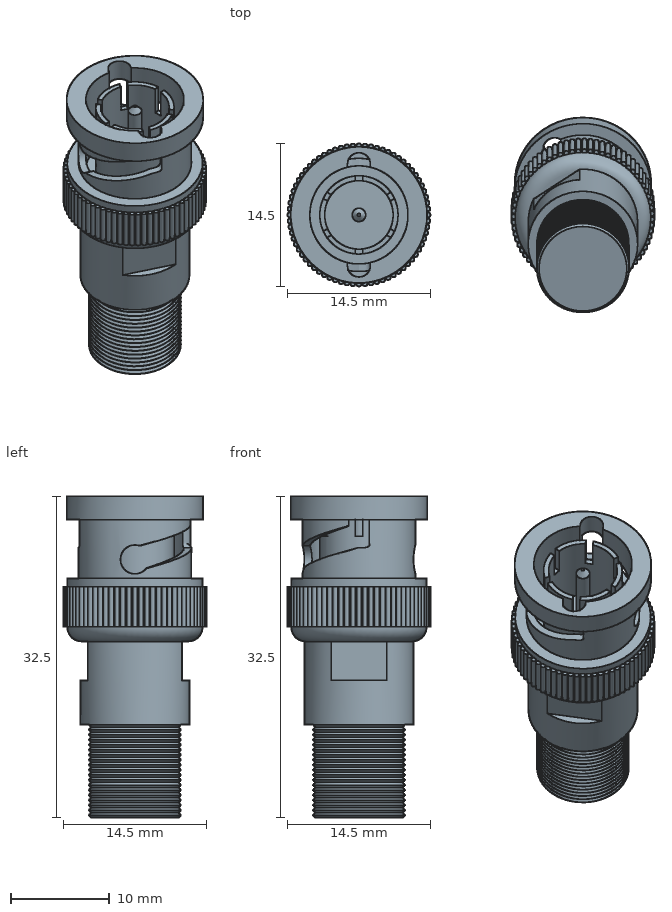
import cadquery as cq


thread_pitch = 0.5085
thread_pitches = 18.5
thread_crest_radius = 4.66
thread_root_radius = 4.43

tail_top_z = thread_pitch * thread_pitches
body_length = 8.4
knurl_skirt = 1.49
knurl_length = 4.05
collar_rim = 0.84
barrel_length = 5.95
flange_thickness = 2.37

collar_bottom_z = tail_top_z + body_length
knurl_bottom_z = collar_bottom_z + knurl_skirt
knurl_top_z = knurl_bottom_z + knurl_length
collar_top_z = knurl_top_z + collar_rim
flange_bottom_z = collar_top_z + barrel_length
top_z = flange_bottom_z + flange_thickness

body_radius = 5.53
collar_radius = 6.85
collar_edge_fillet = knurl_skirt
barrel_radius = 5.72
flange_radius = 6.91

flat_distance = 4.77
flat_length = 3.93

ridge_count = 72
ridge_radius = 0.25
knurl_outer_radius = 7.24

socket_radius = 4.96
socket_floor_z = knurl_top_z
sleeve_outer_radius = 3.96
sleeve_inner_radius = 3.46
sleeve_recess = 1.0
sleeve_slot_count = 6
sleeve_slot_width = 0.75
sleeve_slot_length = 3.08
sleeve_top_z = top_z - sleeve_recess
pin_radius = 0.68
pin_tip_radius = 0.15
pin_shoulder_recess = 1.5
pin_shoulder_z = top_z - pin_shoulder_recess
pin_tip_height = 0.6

seat_radius = 1.46
seat_depth = 6.4
seat_z = top_z - seat_depth
ramp_lead = 9.76
ramp_height = 2.47
ramp_turn = 0.25
ramp_inner_radius = 4.5
ramp_outer_radius = 6.3
notch_width = 2.32
notch_center_radius = 5.12
notch_corner_radius = 0.5
notch_bottom_z = seat_z + ramp_lead * ramp_turn - ramp_height / 2


def cylinder(radius, bottom_z, upper_z):
    return cq.Workplane("XY").workplane(offset=bottom_z).circle(radius).extrude(upper_z - bottom_z)


def make_tail():
    """Revolve the sawtooth outline: root to crest and back for each pitch."""
    outline = [(0, 0)]
    for half_pitch in range(int(2 * thread_pitches) + 1):
        radius = thread_crest_radius if half_pitch % 2 else thread_root_radius
        outline.append((radius, half_pitch * thread_pitch / 2))
    outline.append((0, tail_top_z))
    return cq.Workplane("XZ").polyline(outline).close().revolve(360, (0, 0), (0, 1))


def make_body():
    body = cylinder(body_radius, tail_top_z, collar_bottom_z)
    for side in (1, -1):
        flat_cutter = cq.Workplane("XY").box(
            2 * body_radius, body_radius, flat_length, centered=(True, True, False)
        )
        flat_center_y = side * (flat_distance + body_radius / 2)
        body = body.cut(flat_cutter.translate((0, flat_center_y, collar_bottom_z - flat_length)))
    return body


def make_collar():
    collar = cylinder(collar_radius, collar_bottom_z, collar_top_z)
    collar = collar.faces("<Z").edges().fillet(collar_edge_fillet)
    ridges = (
        cq.Workplane("XY")
        .workplane(offset=knurl_bottom_z)
        .polarArray(knurl_outer_radius - ridge_radius, 0, 360, ridge_count)
        .circle(ridge_radius)
        .extrude(knurl_length)
    )
    return collar.union(ridges)


def make_coupling():
    barrel = cylinder(barrel_radius, collar_top_z, flange_bottom_z)
    return barrel.union(cylinder(flange_radius, flange_bottom_z, top_z))


def make_ramp_cutter():
    """Helical slot that climbs from the seat on +X to the notch on +Y."""
    helix = cq.Wire.makeHelix(ramp_lead, ramp_lead * ramp_turn, ramp_outer_radius)
    section_center = (ramp_inner_radius + ramp_outer_radius) / 2
    cutter = (
        cq.Workplane("XZ")
        .center(section_center, 0)
        .rect(ramp_outer_radius - ramp_inner_radius, ramp_height)
        .sweep(cq.Workplane(obj=helix), isFrenet=True)
    )
    return cutter.translate((0, 0, seat_z))


def make_notch_cutter():
    """Entry notch on +Y: round-ended in plan, with one rounded corner at its bottom."""
    depth = top_z - notch_bottom_z
    plan = (
        cq.Workplane("XY")
        .workplane(offset=notch_bottom_z)
        .moveTo(-notch_width / 2, ramp_inner_radius)
        .lineTo(notch_width / 2, ramp_inner_radius)
        .lineTo(notch_width / 2, notch_center_radius)
        .threePointArc(
            (0, notch_center_radius + notch_width / 2),
            (-notch_width / 2, notch_center_radius),
        )
        .close()
        .extrude(depth)
    )
    envelope = (
        cq.Workplane("XY")
        .box(notch_width, 2 * flange_radius, depth, centered=(True, True, False))
        .translate((0, 0, notch_bottom_z))
        .edges("|Y and <X and <Z")
        .fillet(notch_corner_radius)
    )
    return plan.intersect(envelope)


def make_seat_cutter():
    return (
        cq.Workplane("YZ")
        .workplane(offset=ramp_inner_radius)
        .center(0, seat_z)
        .circle(seat_radius)
        .extrude(ramp_outer_radius - ramp_inner_radius)
    )


def cut_bayonet(shell):
    """Cut the two bayonet tracks, half a turn apart."""
    for angle in (0, 180):
        for cutter in (make_seat_cutter(), make_ramp_cutter(), make_notch_cutter()):
            shell = shell.cut(cutter.rotate((0, 0, 0), (0, 0, 1), angle))
    return shell


def make_sleeve():
    sleeve = cylinder(sleeve_outer_radius, socket_floor_z, sleeve_top_z)
    sleeve = sleeve.cut(cylinder(sleeve_inner_radius, socket_floor_z, sleeve_top_z))
    slot = cq.Workplane("XY").box(
        sleeve_outer_radius,
        sleeve_slot_width,
        sleeve_slot_length,
        centered=(False, True, False),
    )
    slot = slot.translate((sleeve_inner_radius / 2, 0, sleeve_top_z - sleeve_slot_length))
    first_angle = 90
    for index in range(sleeve_slot_count):
        angle = first_angle + index * 360 / sleeve_slot_count
        sleeve = sleeve.cut(slot.rotate((0, 0, 0), (0, 0, 1), angle))
    return sleeve


def make_pin():
    return (
        cq.Workplane("XZ")
        .moveTo(0, socket_floor_z)
        .lineTo(pin_radius, socket_floor_z)
        .lineTo(pin_radius, pin_shoulder_z)
        .lineTo(pin_tip_radius, pin_shoulder_z + pin_tip_height)
        .lineTo(0, pin_shoulder_z + pin_tip_height)
        .close()
        .revolve(360, (0, 0), (0, 1))
    )


shell = make_tail().union(make_body()).union(make_collar()).union(make_coupling())
shell = shell.cut(cylinder(socket_radius, socket_floor_z, top_z))
shell = cut_bayonet(shell)
result = shell.union(make_sleeve()).union(make_pin())